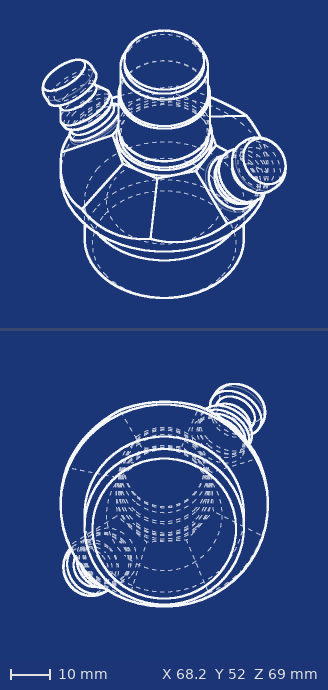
import cadquery as cq
import math

base_radius = 20.0
base_height = 16.15
base_chamfer = 2.0
cone_bottom_radius = 14.5
flange_radius = 26.0
flange_bottom_z = 26.1

side_count = 8
shoulder_z = 39.0
shoulder_apothem = 12.1
face_tilt = 35.0

collar_radius = 12.0
collar_top_z = 41.1
groove_rim_radius = 11.2
groove_depth = 0.4
barrel_bottom_z = 43.55
barrel_radius = 11.49
barrel_edge = 0.3
barrel_top_z = 56.0
upper_radius = 11.005
upper_bottom_z = 56.45
upper_top_z = 66.4
tip_radius = 10.0
tip_bottom_z = 67.5
top_z = 69.0

port_axis_base_z = 5.7
port_root_fillet = 0.4
port_foot_radius = 7.25
port_neck_radius = 5.25
port_waist_radius = 6.245
port_bead_radius = 7.1
port_bead_edge_radius = 7.005
port_cap_radius = 7.005
port_end_radius = 6.1
port_foot_top = 1.05
port_waist_bottom = 2.1
port_waist_top = 3.65
port_bead_bottom = 4.35
port_bead_top = 5.9
port_neck_bottom = 9.25
port_cap_bottom = 12.3
port_cap_edge = 14.1
port_length = 16.4
port_embed = 2.1
port_cap_bulge = 0.3


def make_base():
    """Base cylinder with a chamfered lower edge."""
    base = cq.Workplane("XY").circle(base_radius).extrude(base_height)
    return base.faces("<Z").chamfer(base_chamfer)


def make_flange():
    """Round conical flange whose top is cut to an eight-sided pyramid."""
    flange = (
        cq.Workplane("XZ")
        .moveTo(0, base_height)
        .lineTo(cone_bottom_radius, base_height)
        .lineTo(flange_radius, flange_bottom_z)
        .lineTo(flange_radius, shoulder_z)
        .lineTo(0, shoulder_z)
        .close()
        .revolve(360, (0, 0, 0), (0, 1, 0))
    )
    pyramid_height = shoulder_z - base_height
    pyramid_apothem = shoulder_apothem + pyramid_height / math.tan(math.radians(face_tilt))
    half_angle = math.pi / side_count
    turn = math.degrees(half_angle)
    pyramid = (
        cq.Workplane("XY", origin=(0, 0, base_height))
        .transformed(rotate=(0, 0, turn))
        .polygon(side_count, 2 * pyramid_apothem / math.cos(half_angle))
        .workplane(offset=pyramid_height)
        .polygon(side_count, 2 * shoulder_apothem / math.cos(half_angle))
        .loft(ruled=True)
    )
    return flange.intersect(pyramid)


def make_spigot():
    """Stepped spigot with a curved groove above its collar."""
    return (
        cq.Workplane("XZ")
        .moveTo(0, shoulder_z)
        .lineTo(collar_radius, shoulder_z)
        .lineTo(collar_radius, collar_top_z)
        .lineTo(groove_rim_radius, collar_top_z)
        .sagittaArc((groove_rim_radius, barrel_bottom_z), groove_depth)
        .lineTo(barrel_radius, barrel_bottom_z + barrel_edge)
        .lineTo(barrel_radius, barrel_top_z)
        .lineTo(upper_radius, upper_bottom_z)
        .lineTo(upper_radius, upper_top_z)
        .lineTo(tip_radius, tip_bottom_z)
        .lineTo(tip_radius, top_z)
        .lineTo(0, top_z)
        .close()
        .revolve(360, (0, 0, 0), (0, 1, 0))
    )


def make_port():
    """Capped port standing square to the +X sloping face."""
    tilt = math.radians(face_tilt)
    face_distance = shoulder_apothem * math.sin(tilt) + (shoulder_z - port_axis_base_z) * math.cos(tilt)
    profile = (
        cq.Workplane("XZ")
        .moveTo(0, -port_embed)
        .lineTo(port_neck_radius, -port_embed)
        .lineTo(port_neck_radius, 0)
        .lineTo(port_foot_radius + port_root_fillet, 0)
        .radiusArc((port_foot_radius, port_root_fillet), port_root_fillet)
        .lineTo(port_foot_radius, port_foot_top)
        .lineTo(port_waist_radius, port_waist_bottom)
        .lineTo(port_waist_radius, port_waist_top)
        .lineTo(port_bead_edge_radius, port_bead_bottom)
        .lineTo(port_bead_radius, port_bead_top)
        .lineTo(port_neck_radius, port_neck_bottom)
        .lineTo(port_neck_radius, port_cap_bottom)
        .lineTo(port_cap_radius, port_cap_bottom)
        .lineTo(port_cap_radius, port_cap_edge)
        .sagittaArc((port_end_radius, port_length), -port_cap_bulge)
        .lineTo(0, port_length)
        .close()
    )
    return (
        profile.revolve(360, (0, 0, 0), (0, 1, 0))
        .translate((0, 0, face_distance))
        .rotate((0, 0, 0), (0, 1, 0), face_tilt)
        .translate((0, 0, port_axis_base_z))
    )


port = make_port()
result = make_base().union(make_flange()).union(make_spigot())
for side_angle in (0, 180):
    result = result.union(port.rotate((0, 0, 0), (0, 0, 1), side_angle))